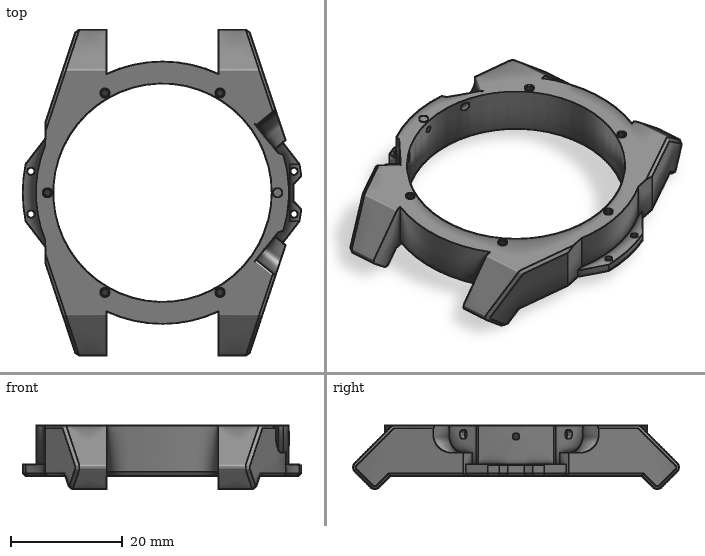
import cadquery as cq
import math


bore_diameter = 39.05
ring_height = 9.1
ring_radius = 22.65
ring_end_radius = 23.5
edge_chamfer = 0.55
ring_chamfer = 0.75

lug_gap = 20.0
lug_tip_y = 29.18
lug_drop = 11.41
lug_round = 1.05
lug_shoulder_y = 22.1
side_x_at_tip = 15.45
side_slope = 1 / 3
left_flat_x = -20.98

flange_top = -7.0
flange_radius = 25.04
flange_inner_x = 19.0
flange_corner_y = 5.1
flange_side_slope = 1.3
flange_hole_diameter = 1.25
flange_hole_x = 23.55
flange_hole_y = 3.83

relief_x = 23.45
relief_half_width = 1.5
relief_mouth_half_width = 3.0
seat_x = 22.8
seat_depth = 0.1

screw_circle_radius = 20.6
screw_count = 6
screw_sink_diameter = 1.67
screw_diameter = 1.27
screw_sink_depth = 0.25
screw_depth = 5.0
crown_screw_depth = 0.1

pusher_angle = 39.1
pusher_offset = 4.57
pusher_seat = 20.57
pocket_radius = 3.3
pocket_edge_round = 0.45
pocket_floor = -4.9
guard_end_offset = 6.6
clearance_end_offset = 7.6
clearance_tip_offset = 8.35
pusher_hole_diameter = 1.67
guard_root = 19.57

crown_hole_diameter = 1.2
crown_hole_z = -2.0

big = 60.0


def lug_side_x(y):
    return side_x_at_tip + (lug_tip_y - y) * side_slope


def on_pusher(along, offset):
    """Plan point on the +Y pusher, given along its axis and across it towards the crown."""
    angle = math.radians(pusher_angle)
    x = along * math.cos(angle) + offset * math.sin(angle)
    y = along * math.sin(angle) - offset * math.cos(angle)
    return x, y


def mirror_y(points):
    return [(x, -y) for x, y in reversed(points)]


def lug_profile():
    """Side outline of the case with both lugs, extruded along X."""
    corner_overshoot = lug_round * (math.sqrt(2) - 1)
    tip_y = lug_tip_y + corner_overshoot
    tip_z = lug_shoulder_y - tip_y
    bottom_z = -lug_drop - corner_overshoot
    bottom_y = tip_y - (tip_z - bottom_z)
    root_y = bottom_y - (-ring_height - bottom_z)
    half = [
        (lug_shoulder_y, 0),
        (tip_y, tip_z),
        (bottom_y, bottom_z),
        (root_y, -ring_height),
    ]
    other_half = [(-y, z) for y, z in reversed(half)]
    body = cq.Workplane("YZ").polyline(half + other_half).close().extrude(big, both=True)
    lug_corners = []
    for y, z in half[:3]:
        lug_corners += [(y, z), (-y, z)]
    for y, z in lug_corners:
        body = body.edges(cq.selectors.NearestToPointSelector((0, y, z))).fillet(lug_round)
    return body


def lug(profile):
    """The +X, +Y quarter of the lug body, with its slanted side chamfered all round."""
    outer_y = lug_tip_y + lug_round
    plan = (
        cq.Workplane("XY")
        .polyline([(0, 0), (lug_side_x(0), 0), (lug_side_x(outer_y), outer_y), (0, outer_y)])
        .close().extrude(-big)
    )
    body = profile.intersect(plan)
    middle_y = lug_shoulder_y / 2
    middle = (lug_side_x(middle_y), middle_y, -ring_height / 2)
    side = body.faces(cq.selectors.NearestToPointSelector(middle))
    return side.edges("not |Z").chamfer(edge_chamfer)


def left_flat_cut():
    """Everything beyond the -X flat, with the chamfer along its lower edge."""
    return (
        cq.Workplane("XZ")
        .polyline([
            (-big, 0),
            (left_flat_x, 0),
            (left_flat_x, edge_chamfer - ring_height),
            (left_flat_x + edge_chamfer, -ring_height),
            (left_flat_x + edge_chamfer, -big),
            (-big, -big),
        ])
        .close().extrude(big, both=True)
    )


def guard_end_cut():
    """Space between the two lug guards on the +X side."""
    end = [on_pusher(big, guard_end_offset), on_pusher(guard_root, guard_end_offset)]
    return cq.Workplane("XY").polyline(end + mirror_y(end)).close().extrude(-big)


def lug_body():
    """All four lugs joined into one plate."""
    quarter = lug(lug_profile())
    half = quarter.union(quarter.mirror("XZ", (0, 0, 0)))
    mirrored = half.mirror("YZ", (0, 0, 0))
    left_half = mirrored.cut(left_flat_cut())
    right_half = half.cut(guard_end_cut())
    gap = cq.Workplane("XY").rect(lug_gap, 2 * big).extrude(-big)
    return left_half.union(right_half).cut(gap)


def ring():
    base = cq.Workplane("XY").workplane(offset=-ring_height)
    sides = base.circle(ring_radius).extrude(ring_height).faces("<Z").edges().chamfer(ring_chamfer)
    ends = base.circle(ring_end_radius).extrude(ring_height).faces("<Z").edges().chamfer(ring_chamfer)
    gap = cq.Workplane("XY").rect(lug_gap, 2 * big).extrude(-big)
    return sides.union(ends.intersect(gap))


def flanges():
    """Thin plates on both sides, with the crown relief cut out on the +X side."""
    corner_x = math.sqrt(flange_radius**2 - flange_corner_y**2)
    inner_y = flange_corner_y + (corner_x - flange_inner_x) * flange_side_slope
    mouth_x = math.sqrt(flange_radius**2 - relief_mouth_half_width**2)
    arc_angle = (math.asin(flange_corner_y / flange_radius)
                 + math.asin(relief_mouth_half_width / flange_radius)) / 2
    arc_x = flange_radius * math.cos(arc_angle)
    arc_y = flange_radius * math.sin(arc_angle)
    plate = (
        cq.Workplane("XY").workplane(offset=-ring_height)
        .moveTo(flange_inner_x, inner_y)
        .lineTo(corner_x, flange_corner_y)
        .threePointArc((arc_x, arc_y), (mouth_x, relief_mouth_half_width))
        .lineTo(relief_x, relief_half_width)
        .lineTo(relief_x, -relief_half_width)
        .lineTo(mouth_x, -relief_mouth_half_width)
        .threePointArc((arc_x, -arc_y), (corner_x, -flange_corner_y))
        .lineTo(flange_inner_x, -inner_y)
        .lineTo(-flange_inner_x, -inner_y)
        .lineTo(-corner_x, -flange_corner_y)
        .threePointArc((-flange_radius, 0), (-corner_x, flange_corner_y))
        .lineTo(-flange_inner_x, inner_y)
        .close()
        .extrude(ring_height + flange_top)
        .faces("<Z").edges().chamfer(edge_chamfer)
    )
    seat = (
        cq.Workplane("XY").workplane(offset=flange_top)
        .center(seat_x + big / 2, 0)
        .rect(big, 2 * flange_corner_y)
        .extrude(-seat_depth)
    )
    return plate.cut(seat)


def flange_holes():
    spots = [(sx * flange_hole_x, sy * flange_hole_y) for sx in (-1, 1) for sy in (-1, 1)]
    return cq.Workplane("XY").pushPoints(spots).circle(flange_hole_diameter / 2).extrude(-ring_height)


def screw_holes():
    sink = (
        cq.Workplane("XY").circle(screw_sink_diameter / 2)
        .workplane(offset=-screw_sink_depth).circle(screw_diameter / 2).loft()
    )
    hole = sink.union(cq.Workplane("XY").circle(screw_diameter / 2).extrude(-screw_depth))
    hole = hole.translate((screw_circle_radius, 0, 0))
    holes = (
        cq.Workplane("XY").center(screw_circle_radius, 0)
        .circle(screw_sink_diameter / 2).extrude(-crown_screw_depth)
    )
    for i in range(1, screw_count):
        holes = holes.union(hole.rotate((0, 0, 0), (0, 0, 1), 360 / screw_count * i))
    return holes


def pusher_plane(along):
    """Plane across the +Y pusher axis: local X runs towards the crown, local Y along -Z."""
    angle = math.radians(pusher_angle)
    x, y = on_pusher(along, pusher_offset)
    towards_crown = (math.sin(angle), -math.cos(angle), 0)
    outward = (math.cos(angle), math.sin(angle), 0)
    origin = (x, y, pocket_floor + pocket_radius)
    return cq.Workplane(cq.Plane(origin=origin, xDir=towards_crown, normal=outward))


def pusher_pocket():
    """Round-bottomed on the lug side, flat-bottomed from the pusher axis to the guard end."""
    top = pocket_floor + pocket_radius
    rim = -pocket_radius - pocket_edge_round
    guard_end = guard_end_offset - pusher_offset
    diagonal = math.sqrt(0.5)
    round_middle = (rim + pocket_edge_round * diagonal, top + pocket_edge_round * (1 - diagonal))
    bottom_middle = (-pocket_radius * diagonal, pocket_radius * diagonal)
    return (
        pusher_plane(pusher_seat)
        .moveTo(rim, top)
        .threePointArc(round_middle, (-pocket_radius, top + pocket_edge_round))
        .lineTo(-pocket_radius, 0)
        .threePointArc(bottom_middle, (0, pocket_radius))
        .lineTo(guard_end, pocket_radius)
        .lineTo(guard_end, top)
        .close().extrude(big)
    )


def pusher_clearance():
    """Ring material removed down to the flange between the guard end and the crown side."""
    tip_along = math.sqrt(ring_radius**2 - clearance_tip_offset**2)
    plan = [
        on_pusher(pusher_seat, guard_end_offset),
        on_pusher(pusher_seat, clearance_end_offset),
        on_pusher(tip_along, clearance_tip_offset),
        on_pusher(big, clearance_tip_offset),
        on_pusher(big, guard_end_offset),
    ]
    return cq.Workplane("XY").polyline(plan).close().extrude(flange_top)


def pusher_hole():
    """Hole from the movement bore through the ring wall into the pocket."""
    inside_bore = bore_diameter / 4
    return pusher_plane(inside_bore).circle(pusher_hole_diameter / 2).extrude(pusher_seat)


def pusher_cut():
    return pusher_pocket().union(pusher_clearance()).union(pusher_hole())


def crown_hole():
    return (
        cq.Workplane("YZ").center(0, crown_hole_z)
        .circle(crown_hole_diameter / 2).extrude(big)
    )


def case():
    pusher = pusher_cut()
    body = lug_body().union(ring())
    body = body.cut(pusher).cut(pusher.mirror("XZ", (0, 0, 0)))
    body = body.union(flanges())
    bore = cq.Workplane("XY").circle(bore_diameter / 2).extrude(-big)
    return body.cut(bore).cut(flange_holes()).cut(screw_holes()).cut(crown_hole())


result = case()